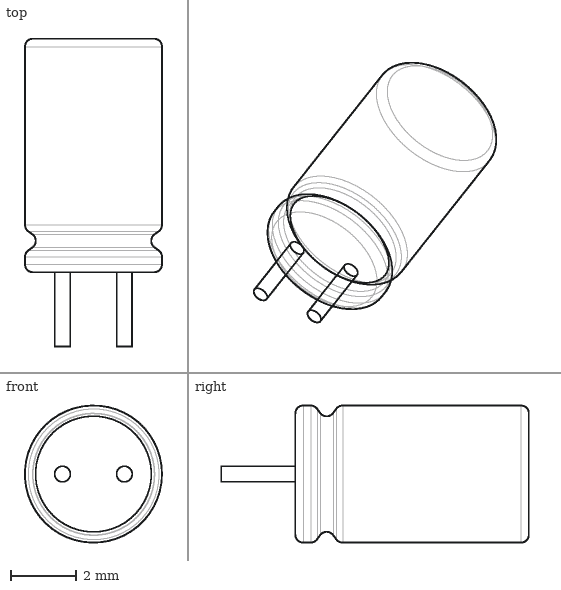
import cadquery as cq
import math

total_length = 9.47
can_length = 7.19
can_diameter = 4.22
bend_radius = 0.25
groove_depth = 0.33
groove_offset = 0.97
lead_diameter = 0.48
lead_pitch = 1.9

lead_length = total_length - can_length
can_radius = can_diameter / 2
groove_half_width = 2 * bend_radius
floor_radius = can_radius - groove_depth

center_gap = 2 * bend_radius - groove_depth
flank_angle = math.pi / 2 - 2 * math.atan2(center_gap, groove_half_width)


def arc_run(angle):
    """Axial distance covered by a bend that turns away from the axis direction."""
    return bend_radius * math.sin(angle)


def arc_drop(angle):
    """Radial distance covered by the same bend."""
    return bend_radius * (1 - math.cos(angle))


def shoulder_point(side, angle):
    """Point on the shoulder arc; side is -1 toward the leads, +1 away from them."""
    y = groove_offset + side * (groove_half_width - arc_run(angle))
    return (can_radius - arc_drop(angle), y)


def floor_point(side, angle):
    """Point on the groove floor arc, turned by angle from its deepest point."""
    return (floor_radius + arc_drop(angle), groove_offset + side * arc_run(angle))


def make_can():
    """Revolve the half profile, in radius and Y, around the can axis."""
    end_radius = can_radius - bend_radius
    corner_radius = can_radius - arc_drop(math.pi / 4)
    corner_inset = arc_drop(math.pi / 4)
    half_angle = flank_angle / 2
    profile = (
        cq.Workplane("XY")
        .moveTo(0, 0)
        .lineTo(end_radius, 0)
        .threePointArc((corner_radius, corner_inset), (can_radius, bend_radius))
        .lineTo(*shoulder_point(-1, 0))
        .threePointArc(shoulder_point(-1, half_angle), shoulder_point(-1, flank_angle))
        .lineTo(*floor_point(-1, flank_angle))
        .threePointArc(floor_point(1, 0), floor_point(1, flank_angle))
        .lineTo(*shoulder_point(1, flank_angle))
        .threePointArc(shoulder_point(1, half_angle), shoulder_point(1, 0))
        .lineTo(can_radius, can_length - bend_radius)
        .threePointArc((corner_radius, can_length - corner_inset), (end_radius, can_length))
        .lineTo(0, can_length)
        .close()
    )
    return profile.revolve(360, (0, 0), (0, 1))


def make_leads():
    """Two round leads running along -Y, rooted slightly inside the can."""
    root_depth = bend_radius
    return (
        cq.Workplane("XZ", origin=(0, root_depth, 0))
        .pushPoints([(-lead_pitch / 2, 0), (lead_pitch / 2, 0)])
        .circle(lead_diameter / 2)
        .extrude(lead_length + root_depth)
    )


result = make_can().union(make_leads())